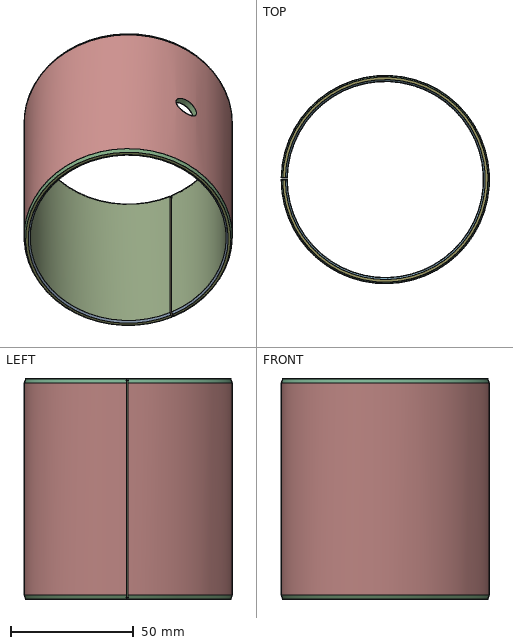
import cadquery as cq

length = 90.0
outer_diameter = 85.0
wall = 2.5
inner_diameter = outer_diameter - 2 * wall

outer_chamfer_height = 1.8
outer_chamfer_width = 0.6
inner_chamfer = 0.8

slit_angle = 1.0

hole_diameter = 10.0
hole_angle = 59.5

outer_radius = outer_diameter / 2
inner_radius = inner_diameter / 2
half_length = length / 2


def make_sleeve():
    """Revolve the chamfered wall section from -X round to the other face of the slit."""
    section = (
        cq.Workplane("XZ")
        .moveTo(inner_radius + inner_chamfer, -half_length)
        .lineTo(outer_radius - outer_chamfer_width, -half_length)
        .lineTo(outer_radius, -half_length + outer_chamfer_height)
        .lineTo(outer_radius, half_length - outer_chamfer_height)
        .lineTo(outer_radius - outer_chamfer_width, half_length)
        .lineTo(inner_radius + inner_chamfer, half_length)
        .lineTo(inner_radius, half_length - inner_chamfer)
        .lineTo(inner_radius, -half_length + inner_chamfer)
        .close()
    )
    sleeve = section.revolve(360 - slit_angle, (0, 0, 0), (0, 1, 0))
    return sleeve.rotate((0, 0, 0), (0, 0, 1), 180)


def make_hole_cutter():
    """Cylinder from the axis outwards, turned to the hole angle."""
    cylinder = cq.Workplane("YZ").circle(hole_diameter / 2).extrude(outer_diameter)
    return cylinder.rotate((0, 0, 0), (0, 0, 1), hole_angle)


result = make_sleeve().cut(make_hole_cutter())